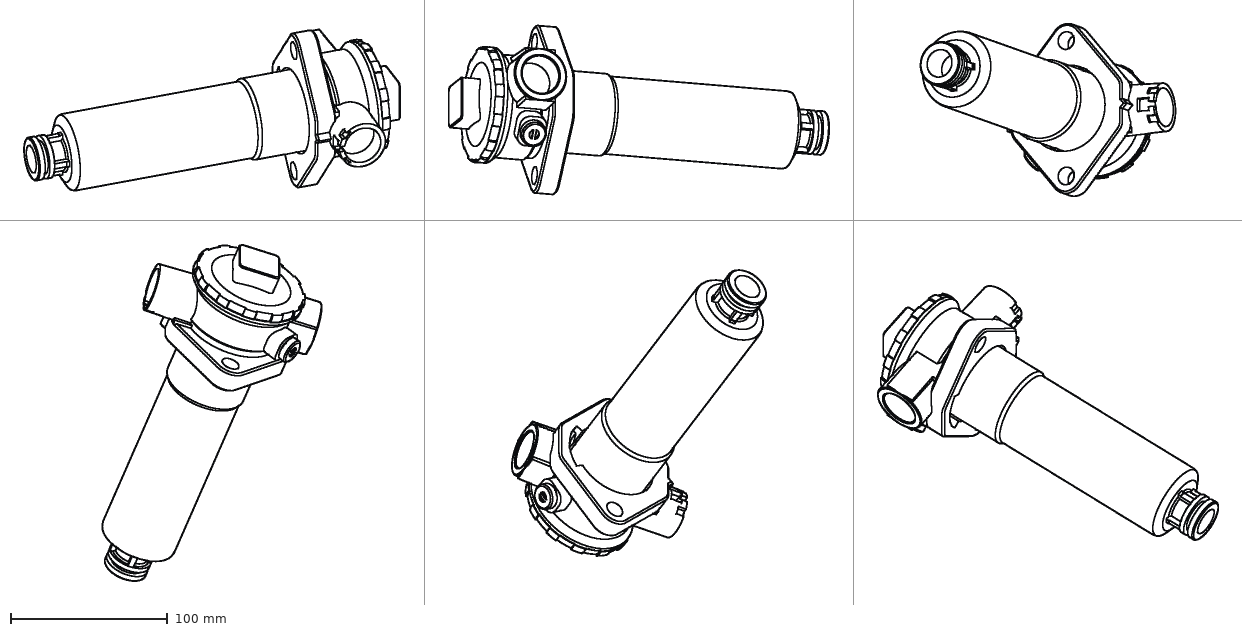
import cadquery as cq
import math


FLANGE_THICKNESS = 14.3
TIP_RADIUS = 11.0
BOLT_OFFSET = 44.0
BOLT_RADIUS = 5.7
FLANGE_HALF_WIDTH = 39.7
SIDE_HALF_HEIGHT = 14.5
SIDE_CORNER_RADIUS = 9.9
FLANGE_CHAMFER = 1.2
POINTER_TIP = 43.0
POINTER_HALF_HEIGHT = 4.2

BARREL_RADIUS = 33.0
NECK_RADIUS = 31.5
NECK_TOP = 18.7
BARREL_BOTTOM = 20.2
BARREL_TOP = 39.5
RIM_RADIUS = 37.0
RIM_BOTTOM = 44.2
CAP_BOTTOM = 46.6
CAP_TOP = 52.0
CAP_RADIUS = 36.3
CAP_CHAMFER = 0.7
CAP_CHAMFER_HEIGHT = 2.5
LUG_COUNT = 12
LUG_ANGLE = 12.5
LUG_RADIUS = 37.5
DOME_RADIUS = 27.0
DOME_HEIGHT = 5.2
KNOB_WIDTH = 27.6
KNOB_CORNER = 3.2
KNOB_TOP = 67.5
KNOB_CHAMFER = 0.7

INLET_Y = 26.6
INLET_Z = 9.0
INLET_FACE = -51.3
INLET_RADIUS = 17.5
INLET_BORE_RADIUS = 12.3
INLET_MOUTH_RADIUS = 13.0
INLET_BORE_DEPTH = 19.7
INLET_CHAMFER = 0.7
PAD_HALF_WIDTH = 9.9
PAD_SETBACK = 0.7
PAD_FRONT_HALF_HEIGHT = 17.0
PAD_BACK_HALF_HEIGHT = 18.3
PAD_BACK_X = -14.8
BRIDGE_START = -28.4

CONNECTOR_Y = 25.2
CONNECTOR_FACE = 57.7
CONNECTOR_ROOT_X = 29.5
CONNECTOR_ROOT_RADIUS = 16.3
CONNECTOR_RADIUS = 15.5
FOOT_END = 38.7
FOOT_TOP = 16.5
CUP_RADIUS = 12.3
CUP_DEPTH = 12.3
WINDOW_START = 46.1
WINDOW_END = 54.0
WINDOW_WIDTH = 8.5
SLIT_WIDTH = 3.7
NOTCH_OFFSET = 9.1
NOTCH_WIDTH = 4.0
NOTCH_LENGTH = 5.5
NOTCH_FLOOR_RADIUS = 13.8

PLUG_ANGLE = 36.0
PLUG_FACE = 46.9
BOSS_WIDTH = 17.8
BOSS_HEIGHT = 20.2
BOSS_ROUND = 6.5
PLUG_RADIUS = 8.1
PLUG_HEAD = 5.0
PLUG_GROOVE_RADIUS = 6.7
PLUG_GROOVE_WIDTH = 0.7
PLUG_CHAMFER = 1.0
SOCKET_RADIUS = 3.2
SOCKET_DEPTH = 1.2
SOCKET_BAR = 2.0

SEAT_RADIUS = 28.0
SEAT_DEPTH = 12.3
RELIEF_RADIUS = 32.8
RELIEF_DEPTH = 5.0
RELIEF_STEP_RADIUS = 30.3
RELIEF_HALF_ANGLE = 33.0

COLLAR_RADIUS = 26.5
COLLAR_END = -31.3
TUBE_START = -33.8
TUBE_RADIUS = 25.0
TUBE_END = -153.2
SHOULDER_RADIUS = 24.5
SHOULDER_END = -155.0
BASE_RADIUS = 18.5
BASE_Y = -158.5
NOZZLE_RADIUS = 14.0
NOZZLE_CORE_RADIUS = 10.9
NOZZLE_END = -179.0
RING_START = -168.5
GROOVE_START = -171.7
GROOVE_END = -175.0
NOZZLE_CHAMFER = 0.7
CORE_FLARE = 1.2
NOZZLE_BORE_RADIUS = 9.0
RIB_COUNT = 4
RIB_WIDTH = 3.7
RIB_FOOT_RADIUS = 14.5
RIB_FOOT_HEIGHT = 2.0


def box(x_range, y_range, z_range):
    """Box between two limits on each axis."""
    size = [high - low for low, high in (x_range, y_range, z_range)]
    corner = cq.Vector(x_range[0], y_range[0], z_range[0])
    return cq.Workplane(cq.Solid.makeBox(*size, corner))


def cylinder(radius, start, direction, length):
    """Cylinder from a start point along a direction."""
    return cq.Workplane(cq.Solid.makeCylinder(radius, length, cq.Vector(*start), cq.Vector(*direction)))


def turned(points):
    """Solid of revolution about the Y axis from (radius, y) points."""
    return cq.Workplane("XY").polyline(points).close().revolve(360, (0, 0, 0), (0, 1, 0))


def plane_at(y):
    """Workplane at a given Y, facing +Y, with local X along X and local Y along -Z."""
    return cq.Workplane(cq.Plane(origin=(0, y, 0), xDir=(1, 0, 0), normal=(0, 1, 0)))


def flange():
    """Diamond flange with rounded tips, side flats, a pointer and two bolt holes."""
    drop = BOLT_OFFSET - SIDE_HALF_HEIGHT
    reach = math.hypot(FLANGE_HALF_WIDTH, drop)
    normal_angle = math.acos(TIP_RADIUS / reach) - math.atan2(drop, FLANGE_HALF_WIDTH)
    tangent_x = TIP_RADIUS * math.cos(normal_angle)
    tangent_z = BOLT_OFFSET + TIP_RADIUS * math.sin(normal_angle)
    tip = BOLT_OFFSET + TIP_RADIUS
    plate = (
        plane_at(0)
        .moveTo(FLANGE_HALF_WIDTH, -SIDE_HALF_HEIGHT)
        .lineTo(FLANGE_HALF_WIDTH, SIDE_HALF_HEIGHT)
        .lineTo(tangent_x, tangent_z)
        .threePointArc((0, tip), (-tangent_x, tangent_z))
        .lineTo(-FLANGE_HALF_WIDTH, SIDE_HALF_HEIGHT)
        .lineTo(-FLANGE_HALF_WIDTH, -SIDE_HALF_HEIGHT)
        .lineTo(-tangent_x, -tangent_z)
        .threePointArc((0, -tip), (tangent_x, -tangent_z))
        .close()
        .extrude(FLANGE_THICKNESS)
    )
    corners = cq.selectors.BoxSelector(
        (-POINTER_TIP, 0, -BOLT_OFFSET / 2),
        (POINTER_TIP, FLANGE_THICKNESS, BOLT_OFFSET / 2),
    )
    plate = plate.edges("|Y").edges(corners).fillet(SIDE_CORNER_RADIUS)
    pointer = (
        plane_at(0)
        .polyline([
            (POINTER_TIP - POINTER_HALF_HEIGHT, -POINTER_HALF_HEIGHT),
            (POINTER_TIP, 0),
            (POINTER_TIP - POINTER_HALF_HEIGHT, POINTER_HALF_HEIGHT),
        ])
        .close()
        .extrude(FLANGE_THICKNESS)
    )
    plate = plate.union(pointer).faces("<Y or >Y").chamfer(FLANGE_CHAMFER)
    for z in (-BOLT_OFFSET, BOLT_OFFSET):
        plate = plate.cut(cylinder(BOLT_RADIUS, (0, 0, z), (0, 1, 0), FLANGE_THICKNESS))
    return plate


def barrel_and_cap():
    """Head barrel, its flared rim, and the domed cap on top."""
    barrel = turned([
        (0, 0),
        (NECK_RADIUS, 0),
        (NECK_RADIUS, NECK_TOP),
        (BARREL_RADIUS, BARREL_BOTTOM),
        (BARREL_RADIUS, BARREL_TOP),
        (RIM_RADIUS, RIM_BOTTOM),
        (RIM_RADIUS, CAP_BOTTOM),
        (CAP_RADIUS, CAP_BOTTOM),
        (CAP_RADIUS, CAP_TOP - CAP_CHAMFER_HEIGHT),
        (CAP_RADIUS - CAP_CHAMFER, CAP_TOP),
        (0, CAP_TOP),
    ])
    sphere_radius = (DOME_RADIUS ** 2 + DOME_HEIGHT ** 2) / (2 * DOME_HEIGHT)
    half_span = DOME_RADIUS / 2
    half_span_rise = math.sqrt(sphere_radius ** 2 - half_span ** 2) - (sphere_radius - DOME_HEIGHT)
    dome = (
        cq.Workplane("XY")
        .moveTo(0, CAP_TOP)
        .lineTo(DOME_RADIUS, CAP_TOP)
        .threePointArc((half_span, CAP_TOP + half_span_rise), (0, CAP_TOP + DOME_HEIGHT))
        .close()
        .revolve(360, (0, 0, 0), (0, 1, 0))
    )
    return barrel.union(dome)


def cap_lug(angle):
    """Raised grip lug on the cap edge, centred on an angle about the Y axis."""
    lug = (
        cq.Workplane("XY")
        .polyline([
            (DOME_RADIUS, CAP_BOTTOM),
            (LUG_RADIUS, CAP_BOTTOM),
            (LUG_RADIUS, CAP_TOP - CAP_CHAMFER_HEIGHT),
            (LUG_RADIUS - CAP_CHAMFER, CAP_TOP),
            (DOME_RADIUS, CAP_TOP),
        ])
        .close()
        .revolve(LUG_ANGLE, (0, 0, 0), (0, 1, 0))
    )
    return lug.rotate((0, 0, 0), (0, 1, 0), angle - LUG_ANGLE / 2)


def cap_knob():
    """Square wrench knob on the cap."""
    return (
        plane_at(CAP_TOP)
        .rect(KNOB_WIDTH, KNOB_WIDTH)
        .extrude(KNOB_TOP - CAP_TOP)
        .edges("|Y").fillet(KNOB_CORNER)
        .faces(">Y").chamfer(KNOB_CHAMFER)
    )


def inlet_slab():
    """Drafted slab between the flats above and below the inlet."""
    front_x = INLET_FACE + PAD_SETBACK
    return (
        cq.Workplane("XZ", origin=(0, INLET_Y, INLET_Z))
        .polyline([
            (INLET_FACE, -PAD_FRONT_HALF_HEIGHT),
            (front_x, -PAD_FRONT_HALF_HEIGHT),
            (PAD_BACK_X, -PAD_BACK_HALF_HEIGHT),
            (0, -PAD_BACK_HALF_HEIGHT),
            (0, PAD_BACK_HALF_HEIGHT),
            (PAD_BACK_X, PAD_BACK_HALF_HEIGHT),
            (front_x, PAD_FRONT_HALF_HEIGHT),
            (INLET_FACE, PAD_FRONT_HALF_HEIGHT),
        ])
        .close()
        .extrude(INLET_RADIUS, both=True)
    )


def inlet_port():
    """Inlet tube with flat pads above and below that run down to the flange."""
    tube = cylinder(INLET_RADIUS, (INLET_FACE, INLET_Y, INLET_Z), (1, 0, 0), -INLET_FACE)
    tube = tube.faces("<X").chamfer(INLET_CHAMFER).intersect(inlet_slab())
    full_height = (INLET_Z - PAD_BACK_HALF_HEIGHT, INLET_Z + PAD_BACK_HALF_HEIGHT)
    pad_y = (INLET_Y - PAD_HALF_WIDTH, INLET_Y + PAD_HALF_WIDTH)
    bridge_y = (FLANGE_THICKNESS - FLANGE_CHAMFER, INLET_Y)
    pads = inlet_slab().intersect(box((INLET_FACE + PAD_SETBACK, 0), pad_y, full_height))
    bridge = inlet_slab().intersect(box((BRIDGE_START, 0), bridge_y, full_height))
    return tube.union(pads).union(bridge)


def inlet_bore():
    """Blind bore of the inlet with a chamfered mouth."""
    start = (INLET_FACE, INLET_Y, INLET_Z)
    bore = cylinder(INLET_BORE_RADIUS, start, (1, 0, 0), INLET_BORE_DEPTH)
    chamfer_depth = INLET_MOUTH_RADIUS - INLET_BORE_RADIUS
    mouth = cq.Solid.makeCone(
        INLET_MOUTH_RADIUS, INLET_BORE_RADIUS, chamfer_depth, cq.Vector(*start), cq.Vector(1, 0, 0)
    )
    return bore.union(cq.Workplane(mouth))


def connector():
    """Slightly tapered round connector that grows out of the barrel, standing on a flat foot."""
    stem = (
        cq.Workplane("XY")
        .polyline([
            (0, 0),
            (0, CONNECTOR_ROOT_RADIUS),
            (CONNECTOR_ROOT_X, CONNECTOR_ROOT_RADIUS),
            (CONNECTOR_FACE, CONNECTOR_RADIUS),
            (CONNECTOR_FACE, 0),
        ])
        .close()
        .revolve(360, (0, 0, 0), (1, 0, 0))
        .translate((0, CONNECTOR_Y, 0))
    )
    foot = box(
        (0, FOOT_END),
        (FLANGE_THICKNESS - FLANGE_CHAMFER, FOOT_TOP),
        (-CONNECTOR_ROOT_RADIUS, CONNECTOR_ROOT_RADIUS),
    )
    return stem.union(foot)


def connector_cutouts():
    """Open cup of the connector, with a window and slit through its -Y wall and two shallow notches."""
    cup = cylinder(CUP_RADIUS, (CONNECTOR_FACE - CUP_DEPTH, CONNECTOR_Y, 0), (1, 0, 0), CUP_DEPTH)
    wall = (CONNECTOR_Y - CONNECTOR_ROOT_RADIUS, CONNECTOR_Y)
    cuts = cup.union(box((WINDOW_START, WINDOW_END), wall, (-WINDOW_WIDTH / 2, WINDOW_WIDTH / 2)))
    cuts = cuts.union(box((WINDOW_END, CONNECTOR_FACE), wall, (-SLIT_WIDTH / 2, SLIT_WIDTH / 2)))
    notch_start = CONNECTOR_FACE - NOTCH_LENGTH
    floor = cylinder(NOTCH_FLOOR_RADIUS, (notch_start, CONNECTOR_Y, 0), (1, 0, 0), NOTCH_LENGTH)
    for z in (-NOTCH_OFFSET, NOTCH_OFFSET):
        notch = box((notch_start, CONNECTOR_FACE), wall, (z - NOTCH_WIDTH / 2, z + NOTCH_WIDTH / 2))
        cuts = cuts.union(notch.cut(floor))
    return cuts


def vent_plug():
    """Rounded square radial boss that carries a grooved plug head and a round socket crossed by a bar."""
    groove_outer = PLUG_FACE - PLUG_HEAD
    groove_inner = groove_outer - PLUG_GROOVE_WIDTH
    plug = turned([
        (0, 0),
        (PLUG_GROOVE_RADIUS, 0),
        (PLUG_GROOVE_RADIUS, groove_outer),
        (PLUG_RADIUS, groove_outer),
        (PLUG_RADIUS, PLUG_FACE - PLUG_CHAMFER),
        (PLUG_RADIUS - PLUG_CHAMFER, PLUG_FACE),
        (0, PLUG_FACE),
    ])
    boss = plane_at(0).rect(BOSS_HEIGHT, BOSS_WIDTH).extrude(groove_inner).edges("|Y").fillet(BOSS_ROUND)
    socket = (
        plane_at(PLUG_FACE - SOCKET_DEPTH)
        .circle(SOCKET_RADIUS)
        .extrude(SOCKET_DEPTH)
    )
    bar = box(
        (-SOCKET_RADIUS, SOCKET_RADIUS),
        (PLUG_FACE - SOCKET_DEPTH, PLUG_FACE),
        (-SOCKET_BAR / 2, SOCKET_BAR / 2),
    )
    return (
        plug.union(boss).cut(socket.cut(bar))
        .rotate((0, 0, 0), (0, 1, 0), 90)
        .rotate((0, 0, 0), (0, 0, 1), 90)
        .rotate((0, 0, 0), (0, 1, 0), -PLUG_ANGLE)
        .translate((0, INLET_Y, 0))
    )


def bowl_seat():
    """Recess for the bowl, widened by an arc-shaped relief on the inlet side."""
    seat = cylinder(SEAT_RADIUS, (0, 0, 0), (0, 1, 0), SEAT_DEPTH)
    relief = (
        cq.Workplane("XY")
        .polyline([
            (0, 0),
            (RELIEF_RADIUS, 0),
            (RELIEF_RADIUS, RELIEF_DEPTH),
            (RELIEF_STEP_RADIUS, RELIEF_DEPTH),
            (SEAT_RADIUS, SEAT_DEPTH),
            (0, SEAT_DEPTH),
        ])
        .close()
        .revolve(2 * RELIEF_HALF_ANGLE, (0, 0, 0), (0, 1, 0))
        .rotate((0, 0, 0), (0, 1, 0), 180 - RELIEF_HALF_ANGLE)
    )
    return seat.union(relief)


def make_head():
    """Head with its cap, ports and vent plug as one solid."""
    body = flange().union(barrel_and_cap()).union(cap_knob())
    for index in range(LUG_COUNT):
        body = body.union(cap_lug(index * 360 / LUG_COUNT))
    body = body.union(inlet_port()).union(connector()).union(vent_plug())
    return body.cut(inlet_bore()).cut(connector_cutouts()).cut(bowl_seat())


def bowl_ribs():
    """Ribs around the nozzle, each with a wider foot against the bowl base."""
    ribs = cq.Workplane("XY")
    for index in range(RIB_COUNT):
        rib_profile = [
            (0, BASE_Y),
            (RIB_FOOT_RADIUS, BASE_Y),
            (RIB_FOOT_RADIUS, BASE_Y - RIB_FOOT_HEIGHT),
            (NOZZLE_RADIUS, BASE_Y - RIB_FOOT_HEIGHT),
            (NOZZLE_RADIUS, RING_START),
            (0, RING_START),
        ]
        rib = cq.Workplane("XY").polyline(rib_profile).close().extrude(RIB_WIDTH / 2, both=True)
        ribs = ribs.add(rib.rotate((0, 0, 0), (0, 1, 0), index * 360 / RIB_COUNT))
    return ribs.combine()


def make_bowl():
    """Bowl seated in the head, stepping down to a grooved outlet nozzle."""
    body = turned([
        (0, SEAT_DEPTH),
        (COLLAR_RADIUS, SEAT_DEPTH),
        (COLLAR_RADIUS, COLLAR_END),
        (TUBE_RADIUS, TUBE_START),
        (TUBE_RADIUS, TUBE_END),
        (SHOULDER_RADIUS, SHOULDER_END),
        (BASE_RADIUS, BASE_Y),
        (NOZZLE_CORE_RADIUS + CORE_FLARE, BASE_Y),
        (NOZZLE_CORE_RADIUS, BASE_Y - CORE_FLARE),
        (NOZZLE_CORE_RADIUS, RING_START + CORE_FLARE),
        (NOZZLE_CORE_RADIUS + CORE_FLARE, RING_START),
        (NOZZLE_RADIUS, RING_START),
        (NOZZLE_RADIUS, GROOVE_START),
        (NOZZLE_CORE_RADIUS, GROOVE_START),
        (NOZZLE_CORE_RADIUS, GROOVE_END),
        (NOZZLE_RADIUS, GROOVE_END),
        (NOZZLE_RADIUS, NOZZLE_END + NOZZLE_CHAMFER),
        (NOZZLE_RADIUS - NOZZLE_CHAMFER, NOZZLE_END),
        (0, NOZZLE_END),
    ])
    bore = cylinder(NOZZLE_BORE_RADIUS, (0, NOZZLE_END, 0), (0, 1, 0), BASE_Y - NOZZLE_END)
    return body.union(bowl_ribs()).cut(bore)


head = make_head()
bowl = make_bowl()
result = cq.Compound.makeCompound([head.val(), bowl.val()])